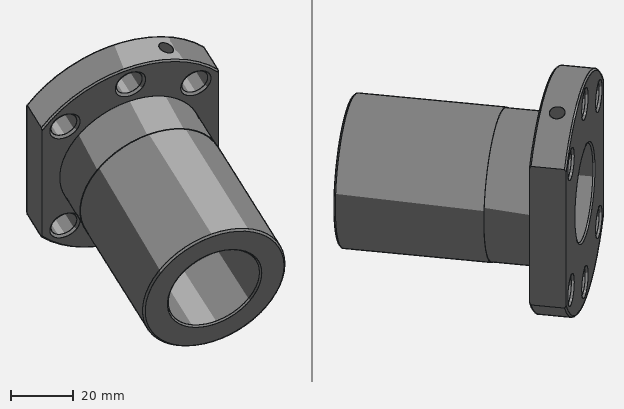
import cadquery as cq
import math

length = 77.0
flange_diameter = 80.0
flange_width = 62.0
flange_thickness = 12.0
flange_chamfer = 0.6

sleeve_start = 28.0
sleeve_diameter = 50.0
shoulder_diameter = 49.6
sleeve_chamfer = 0.6

bore_diameter = 32.0
bore_chamfer = 0.6

bolt_circle_diameter = 65.0
bolt_hole_diameter = 9.0
bolt_hole_chamfer = 0.8
bolt_spacing_angle = 45.0

oil_hole_diameter = 5.0
oil_hole_angle = 90 - bolt_spacing_angle / 2


def cylinder(diameter, start, end):
    """Solid cylinder on the X axis between two positions."""
    return cq.Workplane("YZ", origin=(start, 0, 0)).circle(diameter / 2).extrude(end - start)


def chamfered_hole(diameter, chamfer, depth, y=0, z=0):
    """Cutter along X with a 45 degree chamfer at both ends."""
    radius = diameter / 2
    profile = [
        (0, 0),
        (0, radius + chamfer),
        (chamfer, radius),
        (depth - chamfer, radius),
        (depth, radius + chamfer),
        (depth, 0),
    ]
    cutter = cq.Workplane("XY").polyline(profile).close().revolve(360, (0, 0, 0), (1, 0, 0))
    return cutter.translate((0, y, z))


def make_flange():
    """Round flange, chamfered on both rims, then trimmed to two flats."""
    disc = cylinder(flange_diameter, 0, flange_thickness).edges("%CIRCLE").chamfer(flange_chamfer)
    trim = cq.Workplane("XY").box(2 * flange_thickness, flange_width, flange_diameter)
    return disc.intersect(trim)


def make_barrel():
    shoulder = cylinder(shoulder_diameter, 0, sleeve_start)
    sleeve = cylinder(sleeve_diameter, sleeve_start, length).faces(">X").edges().chamfer(sleeve_chamfer)
    return shoulder.union(sleeve)


def oil_hole():
    """Radial cutter from the bore axis out through the flange rim."""
    angle = math.radians(oil_hole_angle)
    direction = cq.Vector(0, math.cos(angle), math.sin(angle))
    start = cq.Vector(flange_thickness / 2, 0, 0)
    return cq.Solid.makeCylinder(oil_hole_diameter / 2, flange_diameter, start, direction)


result = make_flange().union(make_barrel())
result = result.cut(chamfered_hole(bore_diameter, bore_chamfer, length))

for group_angle in (90, 270):
    for step in (-1, 0, 1):
        angle = math.radians(group_angle + step * bolt_spacing_angle)
        hole_y = bolt_circle_diameter / 2 * math.cos(angle)
        hole_z = bolt_circle_diameter / 2 * math.sin(angle)
        result = result.cut(
            chamfered_hole(bolt_hole_diameter, bolt_hole_chamfer, flange_thickness, hole_y, hole_z)
        )

result = result.cut(oil_hole())